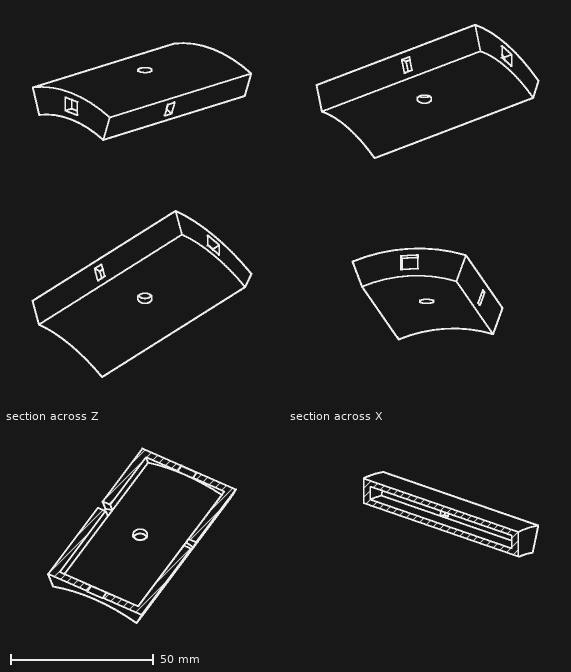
import cadquery as cq
import math

length = 66.8
outer_radius = 59.6
thickness = 10.0
half_angle_degrees = 20
half_angle = math.radians(half_angle_degrees)
inner_radius = outer_radius - thickness
mid_radius = outer_radius - thickness / 2

hollow_height = 5.0
wall = 3.0

end_window_width = 6.2
side_window_width = 3.2
side_window_y = -3.55

crown_hole_diameter = 5.0
crown_hole_y = 1.35


def ring_sector(inner, outer, width, side_inset=0):
    """Ring sector about the Y axis; side_inset moves its flat sides inward, parallel to the plate sides."""
    inner_angle = half_angle - math.asin(side_inset / inner)
    outer_angle = half_angle - math.asin(side_inset / outer)

    def point(radius, angle):
        return (radius * math.sin(angle), radius * math.cos(angle))

    return (
        cq.Workplane("XZ")
        .moveTo(*point(inner, -inner_angle))
        .lineTo(*point(outer, -outer_angle))
        .threePointArc(point(outer, 0), point(outer, outer_angle))
        .lineTo(*point(inner, inner_angle))
        .threePointArc(point(inner, 0), point(inner, -inner_angle))
        .close()
        .extrude(width / 2, both=True)
    )


def end_window(side):
    """Window through the end wall at +Y (side = 1) or -Y (side = -1)."""
    center = (0, side * (length - wall) / 2, mid_radius)
    return cq.Workplane("XY").box(end_window_width, wall, hollow_height).translate(center)


def side_window(side):
    """Window square to the radial side wall at +X (side = 1) or -X (side = -1)."""
    center = (-side * wall / 2, side_window_y, mid_radius)
    return (
        cq.Workplane("XY")
        .box(wall, side_window_width, hollow_height)
        .translate(center)
        .rotate((0, 0, 0), (0, 1, 0), side * half_angle_degrees)
    )


plate = ring_sector(inner_radius, outer_radius, length)
hollow = ring_sector(
    mid_radius - hollow_height / 2,
    mid_radius + hollow_height / 2,
    length - 2 * wall,
    wall,
)
crown_hole = (
    cq.Workplane("XY", origin=(0, crown_hole_y, 0))
    .circle(crown_hole_diameter / 2)
    .extrude(outer_radius)
)

result = plate.cut(hollow).cut(crown_hole)
for side in (-1, 1):
    result = result.cut(end_window(side)).cut(side_window(side))